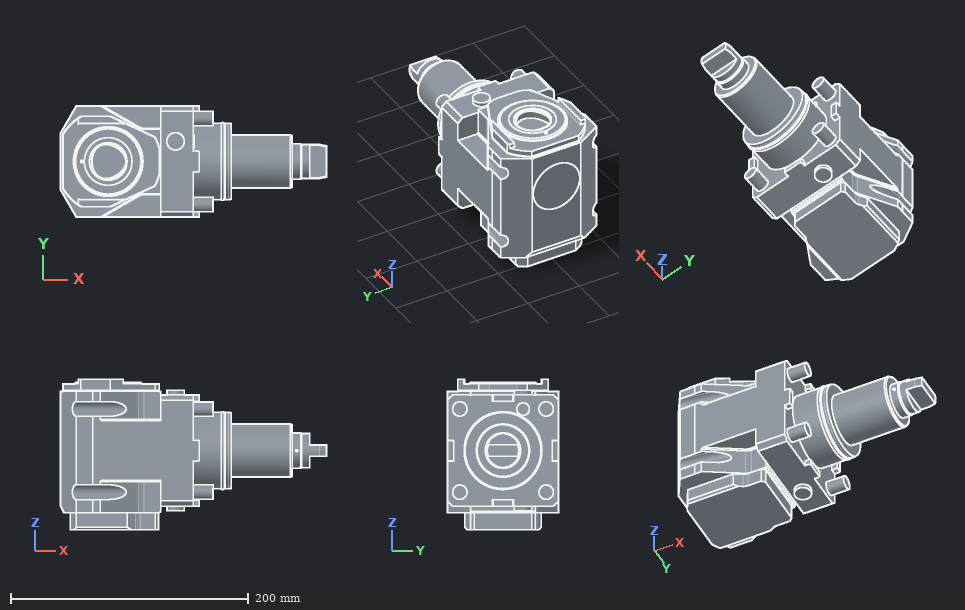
import cadquery as cq
import math


FRAME_SIZE = 94.0
HALF_WIDTH = FRAME_SIZE / 2
BODY_LEFT = -40.3
BODY_RIGHT = 44.5
BODY_TOP = 50.0
BODY_BOTTOM = -52.5
NOSE_HALF_WIDTH = 23.8
NOSE_BEVEL_DEG = 60.0
NOSE_CUT_RUN = 2.9
NOSE_CUT_RISE = 5.8
SIDE_RELIEF = 0.1
SIDE_RELIEF_END = -13.0
HEEL_BEVEL = 1.3
COVER_RADIUS = 22.7
COVER_Z = 13.2
COVER_DEPTH = 0.1

POCKET_FLOOR = 25.0
WALL_Y = 27.2
WALL_BEND_X = 27.6
WALL_SLOPE_DEG = 30.0
WALL_ROUND = 9.5
FOOT_HEIGHT = 1.3
FOOT_WIDTH = 0.8

FLANGE_END = 71.9
FLANGE_BEVEL = 4.5
TAB_LENGTH = 5.0
TAB_HALF_WIDTH = 8.9
TAB_DEPTH = 5.5
TAB_LEAD_LENGTH = 2.4
TAB_LEAD = 0.5

SCREW_Y = 36.4
SCREW_Z = 35.1
SCREW_RADIUS = 6.1
SCREW_END = 88.4
GROOVE_RADIUS = 6.2
GROOVE_START = -45.0
GROOVE_REF_X = -27.0
GROOVE_TILT_DEG = 8.6
GROOVE_LENGTH = 70.0
GROOVE_CLEARANCE = 20.0

KNOB_X = 56.8
PORT_Y = 17.0
KNOB_RADIUS = 7.35
KNOB_Z = 50.9
SEAL_RADIUS = 5.3
SEAL_Z = 35.0
SEAL_HEIGHT = 0.5

COLLAR_RADIUS = 32.4
COLLAR_END = 103.9
COLLAR_TAPER_START = 101.4
COLLAR_TAPER = 0.4
RING_START = 95.2
RING_END = 97.8
RING_RISE = 0.5
RING_GROOVE_END = 98.8
RING_GROOVE_DEPTH = 0.6
SHANK_RADIUS = 22.5
SHANK_END = 155.1
SHANK_BEVEL_LENGTH = 1.4
SHANK_BEVEL_DEPTH = 0.7
JOURNAL_RADIUS = 15.0
JOURNAL_END = 162.4
NECK_DEPTH = 0.6
NECK_WIDTH = 0.9
DRIVE_RADIUS = 14.5
DRIVE_SHOULDER = 170.1
DRIVE_TAPER_START = 178.1
TOTAL_LENGTH = 224.5
DRIVE_END = BODY_LEFT + TOTAL_LENGTH
DRIVE_TIP_RADIUS = 13.2
TANG_HALF_THICKNESS = 4.8
MARK_HOLE_X = 158.9
MARK_HOLE_RADIUS = 0.9
MARK_HOLE_DEPTH = 1.0

PLATE_TOP = 56.2
PLATE_RADIUS = 44.6
PLATE_LEFT = -38.3
PLATE_RIGHT = 43.1
PLATE_HALF_WIDTH = 38.2
PLATE_SLOPE_DEG = 25.0
PLATE_SLOPE_X = 1.9
JOINT_HEIGHT = 0.7
JOINT_INSET = 0.3
RAIL_TOP = 60.2
RAIL_LEFT = -25.3
RAIL_RIGHT = 12.8
RAIL_INNER_Y = 32.4
RAIL_FOOT_ROUND = 0.8

NOSE_RING_RADIUS = 28.7
NOSE_RING_TOP = 57.6
NOSE_RING_BEVEL = 1.2
NOSE_GAP_RADIUS = 29.4
NOSE_GAP_DEPTH = 1.0
INSERT_RADIUS = 20.1
INSERT_DEPTH = 0.1
SOCKET_RIM_RADIUS = 15.9
SOCKET_RIM_DEPTH = 1.0
SOCKET_RADIUS = 14.3
SOCKET_LOBE = 0.7
SOCKET_DEPTH = 9.0
SOCKET_POINTS = 24
SOCKET_LIP = 0.6
SOCKET_LIP_DEPTH = 2.0
DOT_X = -22.3
DOT_RADIUS = 1.0
DOT_DEPTH = 0.5

TOTAL_HEIGHT = 127.0
BASE_BOTTOM = RAIL_TOP - TOTAL_HEIGHT
BASE_LEFT = -32.2
BASE_RIGHT = 42.5
BASE_HALF_WIDTH = 32.3
BASE_LEFT_HALF_WIDTH = 23.3
BASE_EDGE_BEVEL = 2.1
BASE_END_BEVEL = 2.9
BASE_WALL_Y = 27.3
BASE_BEND_X = 24.7
BASE_BEND_ROUND = 8.0

OVERSIZE = 200.0
OVERLAP = 1.0
CORNER_SIGNS = [(1, 1), (1, -1), (-1, 1), (-1, -1)]


def prism(points, z_low, z_high):
    """Closed polygon in X, Y extruded from z_low to z_high."""
    return cq.Workplane("XY").workplane(offset=z_low).polyline(points).close().extrude(z_high - z_low)


def block(x_range, y_range, z_range):
    """Axis-aligned box between the given limits."""
    size = [high - low for low, high in (x_range, y_range, z_range)]
    return cq.Workplane("XY").box(*size, centered=False).translate((x_range[0], y_range[0], z_range[0]))


def x_cylinder(radius, x_start, x_end, y=0.0, z=0.0):
    return cq.Workplane("YZ", origin=(x_start, y, z)).circle(radius).extrude(x_end - x_start)


def z_cylinder(radius, z_low, z_high, x=0.0, y=0.0):
    return cq.Workplane("XY", origin=(x, y, z_low)).circle(radius).extrude(z_high - z_low)


def mirrored(points):
    """Half outline with Y >= 0, completed by its mirror image in Y."""
    return points + [(x, -y) for x, y in reversed(points)]


def sloping_wall_x(y):
    """X of the sloping pocket wall at a given Y."""
    return WALL_BEND_X - (y - WALL_Y) / math.tan(math.radians(WALL_SLOPE_DEG))


def make_body():
    bevel_run = (HALF_WIDTH - NOSE_HALF_WIDTH) / math.tan(math.radians(NOSE_BEVEL_DEG))
    relief_run = SIDE_RELIEF / math.tan(math.radians(NOSE_BEVEL_DEG))
    side_y = HALF_WIDTH - SIDE_RELIEF
    outline = [
        (BODY_LEFT, NOSE_HALF_WIDTH),
        (BODY_LEFT + bevel_run - relief_run, side_y),
        (SIDE_RELIEF_END, side_y),
        (SIDE_RELIEF_END, HALF_WIDTH),
        (BODY_RIGHT, HALF_WIDTH),
    ]
    body = prism(mirrored(outline), BODY_BOTTOM, BODY_TOP)
    body = body.faces("<Z").edges(">X").chamfer(HEEL_BEVEL)
    lower_bevel = (
        cq.Workplane("XZ")
        .polyline([
            (BODY_LEFT, BODY_BOTTOM),
            (BODY_LEFT + NOSE_CUT_RUN, BODY_BOTTOM),
            (BODY_LEFT, BODY_BOTTOM + NOSE_CUT_RISE),
        ])
        .close()
        .extrude(HALF_WIDTH, both=True)
    )
    cover_seat = x_cylinder(COVER_RADIUS, BODY_LEFT, BODY_LEFT + COVER_DEPTH, z=COVER_Z)
    return body.cut(lower_bevel).cut(cover_seat)


def make_pocket():
    """Space removed from the +Y, +Z corner, with a bevelled wall foot."""
    outer_y = HALF_WIDTH + WALL_ROUND
    outline = [
        (sloping_wall_x(outer_y), outer_y),
        (WALL_BEND_X, WALL_Y),
        (BODY_RIGHT, WALL_Y),
        (BODY_RIGHT, outer_y),
    ]
    pocket = prism(outline, POCKET_FLOOR, OVERSIZE)
    bend = cq.selectors.NearestToPointSelector((WALL_BEND_X, WALL_Y, OVERSIZE / 2))
    pocket = pocket.edges("|Z").edges(bend).fillet(WALL_ROUND)
    near_wall = cq.selectors.BoxSelector(
        (sloping_wall_x(outer_y), WALL_Y - OVERLAP, POCKET_FLOOR - OVERLAP),
        (BODY_RIGHT - OVERLAP, (WALL_Y + outer_y) / 2 + OVERLAP, POCKET_FLOOR + OVERLAP),
    )
    return pocket.faces("<Z").edges(near_wall).chamfer(FOOT_HEIGHT, FOOT_WIDTH)


def make_groove():
    """Round-bottomed access groove at +Y, +Z, running deeper toward the flange."""
    start = GROOVE_START - GROOVE_REF_X
    slot = x_cylinder(GROOVE_RADIUS, start, start + GROOVE_LENGTH)
    opening = block(
        (start, start + GROOVE_LENGTH), (0, GROOVE_CLEARANCE), (-GROOVE_RADIUS, GROOVE_RADIUS)
    )
    groove = slot.union(opening).rotate((0, 0, 0), (0, 0, 1), -GROOVE_TILT_DEG)
    return groove.translate((GROOVE_REF_X, HALF_WIDTH, SCREW_Z))


def in_corners(shape):
    """Copies of a +Y, +Z corner shape mirrored into all four corners."""
    copies = []
    for y_sign, z_sign in CORNER_SIGNS:
        copy = shape
        if y_sign < 0:
            copy = copy.mirror("XZ")
        if z_sign < 0:
            copy = copy.mirror("XY")
        copies.append(copy)
    return copies


def make_flange():
    flange = block((BODY_RIGHT, FLANGE_END), (-HALF_WIDTH, HALF_WIDTH), (-HALF_WIDTH, HALF_WIDTH))
    return flange.edges("|X").chamfer(FLANGE_BEVEL)


def make_tab():
    """Locating tab at +Z, with tapered lead-in flanks."""
    tip = FLANGE_END + TAB_LENGTH
    outline = [
        (FLANGE_END, TAB_HALF_WIDTH),
        (tip - TAB_LEAD_LENGTH, TAB_HALF_WIDTH),
        (tip, TAB_HALF_WIDTH - TAB_LEAD),
    ]
    return prism(mirrored(outline), HALF_WIDTH - TAB_DEPTH, HALF_WIDTH)


def make_shank():
    neck_radius = DRIVE_RADIUS - NECK_DEPTH
    groove_radius = COLLAR_RADIUS - RING_GROOVE_DEPTH
    ring_middle = (RING_START + RING_END) / 2
    profile = (
        cq.Workplane("XY")
        .moveTo(FLANGE_END, 0)
        .lineTo(FLANGE_END, COLLAR_RADIUS)
        .lineTo(RING_START, COLLAR_RADIUS)
        .threePointArc((ring_middle, COLLAR_RADIUS + RING_RISE), (RING_END, COLLAR_RADIUS))
        .lineTo(RING_END, groove_radius)
        .lineTo(RING_GROOVE_END, groove_radius)
        .lineTo(RING_GROOVE_END, COLLAR_RADIUS)
        .lineTo(COLLAR_TAPER_START, COLLAR_RADIUS)
        .lineTo(COLLAR_END, COLLAR_RADIUS - COLLAR_TAPER)
        .lineTo(COLLAR_END, SHANK_RADIUS)
        .lineTo(SHANK_END - SHANK_BEVEL_LENGTH, SHANK_RADIUS)
        .lineTo(SHANK_END, SHANK_RADIUS - SHANK_BEVEL_DEPTH)
        .lineTo(SHANK_END, JOURNAL_RADIUS)
        .lineTo(JOURNAL_END, JOURNAL_RADIUS)
        .lineTo(JOURNAL_END, neck_radius)
        .lineTo(JOURNAL_END + NECK_WIDTH, neck_radius)
        .lineTo(JOURNAL_END + NECK_WIDTH, DRIVE_RADIUS)
        .lineTo(DRIVE_TAPER_START, DRIVE_RADIUS)
        .lineTo(DRIVE_END, DRIVE_TIP_RADIUS)
        .lineTo(DRIVE_END, 0)
        .close()
    )
    shank = profile.revolve(360, (0, 0, 0), (1, 0, 0))
    for z_range in ((TANG_HALF_THICKNESS, OVERSIZE), (-OVERSIZE, -TANG_HALF_THICKNESS)):
        shank = shank.cut(block((DRIVE_SHOULDER, DRIVE_END), (-OVERSIZE, OVERSIZE), z_range))
    mark_hole = (
        cq.Workplane("XZ", origin=(MARK_HOLE_X, MARK_HOLE_DEPTH - JOURNAL_RADIUS, 0))
        .circle(MARK_HOLE_RADIUS)
        .extrude(JOURNAL_RADIUS)
    )
    return shank.cut(mark_hole)


def plate_outline(inset, z_low, z_high):
    """Round top plate trimmed by flats and by two sloping sides."""
    slope = math.tan(math.radians(PLATE_SLOPE_DEG))
    half_width = PLATE_HALF_WIDTH - inset
    right = PLATE_RIGHT - inset
    trim = mirrored([
        (PLATE_LEFT + inset, half_width),
        (PLATE_SLOPE_X, half_width),
        (right, half_width - (right - PLATE_SLOPE_X) * slope),
    ])
    return z_cylinder(PLATE_RADIUS - inset, z_low, z_high).intersect(prism(trim, z_low, z_high))


def make_top_plate():
    rail_tops = plate_outline(0, BODY_TOP + JOINT_HEIGHT, RAIL_TOP)
    plate = plate_outline(JOINT_INSET, BODY_TOP, PLATE_TOP)
    plate = plate.union(plate_outline(0, BODY_TOP + JOINT_HEIGHT, PLATE_TOP))
    for y_range in ((RAIL_INNER_Y, OVERSIZE), (-OVERSIZE, -RAIL_INNER_Y)):
        rail_space = block((RAIL_LEFT, RAIL_RIGHT), y_range, (PLATE_TOP - OVERLAP, RAIL_TOP))
        plate = plate.union(rail_tops.intersect(rail_space))
    for y in (RAIL_INNER_Y, -RAIL_INNER_Y):
        middle = ((RAIL_LEFT + RAIL_RIGHT) / 2, y, PLATE_TOP)
        plate = plate.edges(cq.selectors.NearestToPointSelector(middle)).fillet(RAIL_FOOT_ROUND)
    return plate


def lobed_prism(mean_radius, depth):
    """Three-lobed prism down from the nose face; one lobe points to +X."""
    outline = []
    for step in range(SOCKET_POINTS):
        angle = 2 * math.pi * step / SOCKET_POINTS
        radius = mean_radius + SOCKET_LOBE * math.cos(3 * angle)
        outline.append((radius * math.cos(angle), radius * math.sin(angle)))
    floor = cq.Workplane("XY", origin=(0, 0, NOSE_RING_TOP - depth))
    return floor.spline(outline, periodic=True).close().extrude(depth)


def make_socket():
    """Lobed spindle socket with a wider lip and a round rim."""
    socket = lobed_prism(SOCKET_RADIUS, SOCKET_DEPTH)
    socket = socket.union(lobed_prism(SOCKET_RADIUS + SOCKET_LIP, SOCKET_LIP_DEPTH))
    return socket.union(z_cylinder(SOCKET_RIM_RADIUS, NOSE_RING_TOP - SOCKET_RIM_DEPTH, NOSE_RING_TOP))


def add_spindle_nose(part):
    part = part.cut(z_cylinder(NOSE_GAP_RADIUS, PLATE_TOP - NOSE_GAP_DEPTH, PLATE_TOP))
    ring = z_cylinder(NOSE_RING_RADIUS, BODY_TOP, NOSE_RING_TOP)
    part = part.union(ring.faces(">Z").edges().chamfer(NOSE_RING_BEVEL))
    insert = z_cylinder(INSERT_RADIUS, NOSE_RING_TOP - INSERT_DEPTH, NOSE_RING_TOP)
    dot = z_cylinder(DOT_RADIUS, NOSE_RING_TOP - DOT_DEPTH, NOSE_RING_TOP, x=DOT_X)
    return part.cut(insert).cut(dot).cut(make_socket())


def make_bottom_plate():
    bevel_run = (BASE_HALF_WIDTH - BASE_LEFT_HALF_WIDTH) / math.tan(math.radians(NOSE_BEVEL_DEG))
    slope_run = (BASE_HALF_WIDTH - BASE_WALL_Y) / math.tan(math.radians(WALL_SLOPE_DEG))
    outline = [
        (BASE_LEFT, BASE_LEFT_HALF_WIDTH),
        (BASE_LEFT + bevel_run, BASE_HALF_WIDTH),
        (BASE_BEND_X - slope_run, BASE_HALF_WIDTH),
        (BASE_BEND_X, BASE_WALL_Y),
        (BASE_RIGHT - BASE_END_BEVEL, BASE_WALL_Y),
        (BASE_RIGHT, BASE_WALL_Y - BASE_END_BEVEL),
    ]
    plate = prism(mirrored(outline), BASE_BOTTOM, BODY_BOTTOM)
    middle_z = (BASE_BOTTOM + BODY_BOTTOM) / 2
    for y in (BASE_WALL_Y, -BASE_WALL_Y):
        bend = cq.selectors.NearestToPointSelector((BASE_BEND_X, y, middle_z))
        plate = plate.edges("|Z").edges(bend).fillet(BASE_BEND_ROUND)
    for y in (BASE_HALF_WIDTH, -BASE_HALF_WIDTH):
        lower_edge = cq.selectors.NearestToPointSelector((0, y, BASE_BOTTOM))
        plate = plate.edges("|X").edges(lower_edge).chamfer(BASE_EDGE_BEVEL)
    return plate


def build():
    part = make_body()
    for pocket in in_corners(make_pocket()):
        part = part.cut(pocket)
    part = part.union(make_flange())
    for groove in in_corners(make_groove()):
        part = part.cut(groove)
    part = part.union(make_shank())
    for quarter in range(4):
        part = part.union(make_tab().rotate((0, 0, 0), (1, 0, 0), 90 * quarter))
    screw = x_cylinder(SCREW_RADIUS, FLANGE_END - OVERLAP, SCREW_END, SCREW_Y, SCREW_Z)
    for corner_screw in in_corners(screw):
        part = part.union(corner_screw)
    part = part.union(z_cylinder(KNOB_RADIUS, -KNOB_Z, KNOB_Z, KNOB_X, PORT_Y))
    seal_end = FLANGE_END + SEAL_HEIGHT
    part = part.union(x_cylinder(SEAL_RADIUS, FLANGE_END - OVERLAP, seal_end, PORT_Y, SEAL_Z))
    part = part.union(make_top_plate())
    part = add_spindle_nose(part)
    return part.union(make_bottom_plate())


result = build()